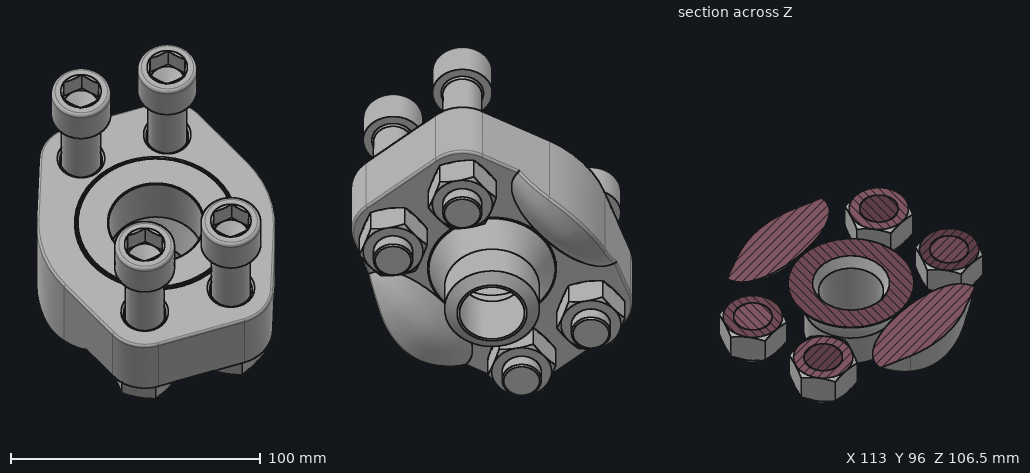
import cadquery as cq
import math


bolt_spacing_x = 79.4
bolt_spacing_y = 36.5
bolt_places = [
    (side_x * bolt_spacing_x / 2, side_y * bolt_spacing_y / 2)
    for side_x in (-1, 1)
    for side_y in (-1, 1)
]

flange_length = 113.0
flange_width = 96.0
plate_thickness = 30.0
ear_depth = 13.0
ear_overhang = 2.0
ear_shoulder_y = 34.3
ear_shoulder_radius = 40.9
ear_rim_slope = 2.5
ear_crown_slope = 0.08
edge_round = 1.0
bolt_hole_diameter = 17.0
bolt_hole_chamfer = 1.0
flange_bore_diameter = 51.55
recess_diameter = 64.25
recess_chamfer = 0.5

insert_length = 60.0
insert_rise = 0.35
head_diameter = 63.5
head_height = 12.6
head_chamfer = 0.5
neck_diameter = 50.6
pipe_diameter = 38.0
pipe_bore_diameter = 26.0
socket_bore_diameter = 38.0
socket_rim_chamfer = 0.4
socket_bore_depth = 23.0
bore_taper_length = 12.0
flare_height = 12.0
flare_sag = 0.5
pipe_start_z = -42.3
bevel_land = 1.0
bevel_angle = 30.0

screw_diameter = 15.68
screw_tip_diameter = 14.34
screw_tip_height = 0.67
screw_length = 80.0
screw_head_diameter = 24.0
screw_head_height = 16.0
screw_head_fillet = 1.5
screw_seat_z = 30.85
screw_neck_diameter = 17.0
screw_neck_height = 1.0
hex_socket_flats = 14.0
hex_socket_depth = 9.5
hex_socket_turn = 9.0
drill_point_angle = 120.0

nut_flats = 24.0
nut_height = 13.0
nut_chamfer_angle = 30.0

hex_corner_ratio = 1 / math.cos(math.radians(30))


def flange_outline():
    """Hull of a central circle and four corner circles centred on the bolts."""
    bolt_x = bolt_spacing_x / 2
    bolt_y = bolt_spacing_y / 2
    middle_radius = flange_width / 2
    corner_radius = flange_length / 2 - bolt_x
    bolt_distance = math.hypot(bolt_x, bolt_y)
    tangent_angle = math.atan2(bolt_y, bolt_x) + math.acos((middle_radius - corner_radius) / bolt_distance)
    normal_x = math.cos(tangent_angle)
    normal_y = math.sin(tangent_angle)
    middle_x = middle_radius * normal_x
    middle_y = middle_radius * normal_y
    corner_x = bolt_x + corner_radius * normal_x
    corner_y = bolt_y + corner_radius * normal_y
    arc_x = bolt_x + corner_radius * math.cos(tangent_angle / 2)
    arc_y = bolt_y + corner_radius * math.sin(tangent_angle / 2)
    side_x = flange_length / 2
    return (
        cq.Workplane("XY")
        .moveTo(side_x, -bolt_y)
        .lineTo(side_x, bolt_y)
        .threePointArc((arc_x, arc_y), (corner_x, corner_y))
        .lineTo(middle_x, middle_y)
        .threePointArc((0, middle_radius), (-middle_x, middle_y))
        .lineTo(-corner_x, corner_y)
        .threePointArc((-arc_x, arc_y), (-side_x, bolt_y))
        .lineTo(-side_x, -bolt_y)
        .threePointArc((-arc_x, -arc_y), (-corner_x, -corner_y))
        .lineTo(-middle_x, -middle_y)
        .threePointArc((0, -middle_radius), (middle_x, -middle_y))
        .lineTo(corner_x, -corner_y)
        .threePointArc((arc_x, -arc_y), (side_x, -bolt_y))
        .close()
    )


def make_ears():
    """Two bells turned about the Y axis, swelling from the bore to a crown just outside the flange."""
    rim = (flange_bore_diameter / 2, plate_thickness)
    shoulder = (ear_shoulder_y, ear_shoulder_radius)
    crown = (flange_width / 2 + ear_overhang, plate_thickness + ear_depth)
    ear = (
        cq.Workplane("YZ")
        .moveTo(rim[0], 0)
        .lineTo(*rim)
        .spline(
            [shoulder, crown],
            tangents=[(1, ear_rim_slope), (1, ear_crown_slope)],
            includeCurrent=True,
        )
        .lineTo(crown[0], 0)
        .close()
        .revolve(360, (0, 0), (1, 0))
    )
    return ear, ear.mirror("XZ")


def outer_bottom_edges(flange):
    """Edges that bound the upright side faces from below."""
    edges = []
    for face in flange.faces().vals():
        if abs(face.normalAt().z) < 0.01:
            edges += [edge for edge in face.Edges() if edge.BoundingBox().zmax < edge_round - plate_thickness]
    return edges


def make_hole(diameter, depth, chamfer):
    """Cutter for a round hole sunk from z = 0, with a 45 degree chamfer at its mouth."""
    radius = diameter / 2
    return (
        cq.Workplane("XZ")
        .lineTo(radius + chamfer, 0)
        .lineTo(radius, -chamfer)
        .lineTo(radius, -depth)
        .lineTo(0, -depth)
        .close()
        .revolve(360, (0, 0), (0, 1))
    )


def make_flange():
    """Plate with two rounded ears hanging below it, bored for the insert and the screws."""
    plate_slab = (
        cq.Workplane("XY")
        .rect(2 * flange_length, 2 * flange_width)
        .extrude(-plate_thickness)
    )
    front_ear, back_ear = make_ears()
    body = plate_slab.union(front_ear).union(back_ear)
    flange = flange_outline().extrude(-plate_thickness - ear_depth).intersect(body)
    flange = flange.faces(">Z").edges().fillet(edge_round)
    flange = flange.newObject(outer_bottom_edges(flange)).fillet(edge_round)

    bore = cq.Workplane("XY").circle(flange_bore_diameter / 2).extrude(-plate_thickness - ear_depth)
    recess = make_hole(recess_diameter, head_height - insert_rise, recess_chamfer)
    bolt_hole = make_hole(bolt_hole_diameter, plate_thickness, bolt_hole_chamfer)
    flange = flange.cut(bore).cut(recess)
    for x, y in bolt_places:
        flange = flange.cut(bolt_hole.translate((x, y, 0)))
    return flange


def bowed_middle(start, end, bow):
    """Middle point of a shallow arc from start to end, pushed towards the axis by bow."""
    length = math.hypot(end[0] - start[0], end[1] - start[1])
    normal = ((end[1] - start[1]) / length, (start[0] - end[0]) / length)
    sign = -1 if normal[0] > 0 else 1
    return (
        (start[0] + end[0]) / 2 + sign * bow * normal[0],
        (start[1] + end[1]) / 2 + sign * bow * normal[1],
    )


def make_insert():
    """Turned weld insert: flat head, neck, flare down to a bevelled pipe end, tapered bore."""
    top = insert_rise
    bottom = top - insert_length
    head_radius = head_diameter / 2
    neck_radius = neck_diameter / 2
    pipe_radius = pipe_diameter / 2
    bore_radius = pipe_bore_diameter / 2
    socket_radius = socket_bore_diameter / 2
    land_radius = bore_radius + bevel_land
    bevel_height = (pipe_radius - land_radius) * math.tan(math.radians(bevel_angle))
    neck_end = (neck_radius, pipe_start_z + flare_height)
    pipe_start = (pipe_radius, pipe_start_z)
    socket_end = (socket_radius, top - socket_bore_depth)
    taper_end = (bore_radius, top - socket_bore_depth - bore_taper_length)
    profile = (
        cq.Workplane("XZ")
        .moveTo(socket_radius, top - socket_rim_chamfer)
        .lineTo(socket_radius + socket_rim_chamfer, top)
        .lineTo(head_radius - head_chamfer, top)
        .lineTo(head_radius, top - head_chamfer)
        .lineTo(head_radius, top - head_height)
        .lineTo(neck_radius, top - head_height)
        .lineTo(*neck_end)
        .threePointArc(bowed_middle(neck_end, pipe_start, flare_sag), pipe_start)
        .lineTo(pipe_radius, bottom + bevel_height)
        .lineTo(land_radius, bottom)
        .lineTo(bore_radius, bottom)
        .lineTo(*taper_end)
        .lineTo(*socket_end)
        .close()
    )
    return profile.revolve(360, (0, 0), (0, 1))


def make_screw(x, y):
    """Socket head cap screw hanging from its seat height, with a drilled hexagon socket."""
    head_top = screw_seat_z + screw_head_height
    tip = screw_seat_z - screw_length
    shank_radius = screw_diameter / 2
    body = (
        cq.Workplane("XZ")
        .lineTo(0, tip)
        .lineTo(screw_tip_diameter / 2, tip)
        .lineTo(shank_radius, tip + screw_tip_height)
        .lineTo(shank_radius, screw_seat_z - screw_neck_height)
        .lineTo(screw_neck_diameter / 2, screw_seat_z)
        .lineTo(screw_head_diameter / 2, screw_seat_z)
        .lineTo(screw_head_diameter / 2, head_top)
        .lineTo(0, head_top)
        .close()
        .revolve(360, (0, 0), (0, 1))
        .faces(">Z")
        .edges()
        .fillet(screw_head_fillet)
    )
    hex_corners = hex_socket_flats * hex_corner_ratio
    socket = (
        cq.Workplane("XY", origin=(0, 0, head_top))
        .polygon(6, hex_corners)
        .extrude(-hex_socket_depth)
        .rotate((0, 0, 0), (0, 0, 1), 30 + hex_socket_turn)
    )
    socket_floor = head_top - hex_socket_depth
    point_radius = hex_socket_flats / 2
    point_depth = point_radius / math.tan(math.radians(drill_point_angle / 2))
    chamfer_radius = hex_corners / 2
    chamfer_depth = chamfer_radius / math.tan(math.radians(drill_point_angle / 2))
    drill_point = cq.Workplane("XY").add(
        cq.Solid.makeCone(point_radius, 0, point_depth, cq.Vector(0, 0, socket_floor), cq.Vector(0, 0, -1))
    )
    chamfer = cq.Workplane("XY").add(
        cq.Solid.makeCone(chamfer_radius, 0, chamfer_depth, cq.Vector(0, 0, head_top), cq.Vector(0, 0, -1))
    )
    return body.cut(socket).cut(drill_point).cut(chamfer).translate((x, y, 0))


def make_nut(x, y):
    """Hexagon nut against the plate, its corners cut back by a cone at both ends."""
    corner_radius = nut_flats * hex_corner_ratio / 2
    face_radius = nut_flats / 2
    cutter_radius = corner_radius + 1
    cone_height = (cutter_radius - face_radius) * math.tan(math.radians(nut_chamfer_angle))
    corner_cutter = (
        cq.Workplane("XZ")
        .lineTo(face_radius, 0)
        .lineTo(cutter_radius, -cone_height)
        .lineTo(cutter_radius, cone_height - nut_height)
        .lineTo(face_radius, -nut_height)
        .lineTo(0, -nut_height)
        .close()
        .revolve(360, (0, 0), (0, 1))
    )
    hexagon = cq.Workplane("XY").polygon(6, 2 * corner_radius).circle(screw_diameter / 2).extrude(-nut_height)
    return hexagon.intersect(corner_cutter).translate((x, y, -plate_thickness))


flange = make_flange()
insert = make_insert()
screws = [make_screw(x, y).val() for x, y in bolt_places]
nuts = [make_nut(x, y).val() for x, y in bolt_places]

result = cq.Compound.makeCompound([flange.val(), insert.val(), *screws, *nuts])